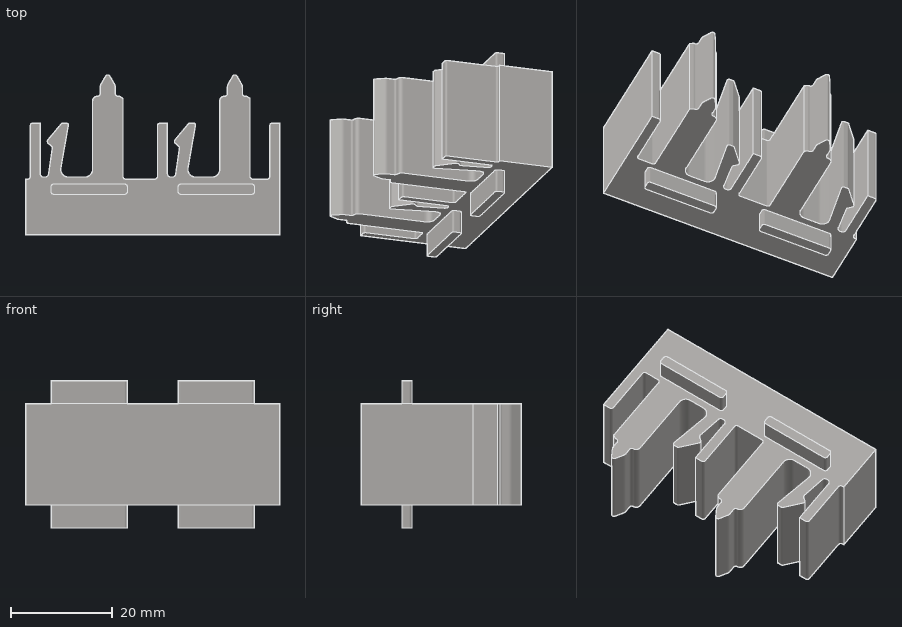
import cadquery as cq
import math

block_width = 50.0
block_depth = 11.0
body_height = 20.0
module_count = 2
module_pitch = block_width / module_count
root_radius = 0.5

post_left = 0.9
post_width = 2.0
post_right = post_left + post_width
post_top = 22.0
post_radius = 0.5

gap_floor = 11.4
slot_radius = 0.65
stem_left = 4.4
stem_right = 6.65
neck_x = 5.25
neck_y = 17.3
neck_radius = 0.4
nose_x = 4.05
nose_y = 18.35
nose_radius = 0.5
hook_top_left = 7.1
hook_top_right = 8.5
hook_top_radius = 0.4
gap_radius = 1.5

blade_center = 16.15
blade_width = 6.0
blade_left = blade_center - blade_width / 2
blade_right = blade_center + blade_width / 2
shoulder_y = 27.3
shoulder_radius = 0.95
low_shoulder_x = 18.5
low_shoulder_drop = 0.45
tip_half_width = 1.5
tip_left = blade_center - tip_half_width
tip_right = blade_center + tip_half_width
tip_half_angle = math.radians(30)
tip_radius = 0.5
tip_y = 31.5
tip_apex = tip_y + tip_radius / math.sin(tip_half_angle) - tip_radius
tip_base = tip_apex - tip_half_width / math.tan(tip_half_angle)
tip_side_radius = 1.25

flange_left = 5.0
flange_length = 15.0
flange_front = 8.0
flange_thickness = 2.0
overall_height = 29.0
flange_radius = 0.5


def module_corners(offset):
    """Corners (x, y, rounding radius) along the back of one post, hook and blade module."""
    corners = [
        (post_left, block_depth, root_radius),
        (post_left, post_top, post_radius),
        (post_right, post_top, 0),
        (post_right, gap_floor, slot_radius),
        (stem_left, gap_floor, slot_radius),
        (neck_x, neck_y, neck_radius),
        (nose_x, nose_y, nose_radius),
        (hook_top_left, post_top, hook_top_radius),
        (hook_top_right, post_top, hook_top_radius),
        (stem_right, gap_floor, gap_radius),
        (blade_left, gap_floor, gap_radius),
        (blade_left, shoulder_y, shoulder_radius),
        (tip_left, shoulder_y, root_radius),
        (tip_left, tip_base, tip_side_radius),
        (blade_center, tip_apex, tip_radius),
        (tip_right, tip_base, tip_side_radius),
        (tip_right, shoulder_y, root_radius),
        (low_shoulder_x, shoulder_y, root_radius),
        (blade_right, shoulder_y - low_shoulder_drop, 0),
        (blade_right, block_depth, root_radius),
    ]
    return [(x + offset, y, radius) for x, y, radius in corners]


def rounded_outline(corners):
    """Closed wire through the corners, each one rounded by a tangent arc of its radius."""
    outline = None
    for i, (x, y, radius) in enumerate(corners):
        corner = cq.Vector(x, y)
        before = cq.Vector(*corners[i - 1][:2])
        after = cq.Vector(*corners[(i + 1) % len(corners)][:2])
        to_before = (before - corner).normalized()
        to_after = (after - corner).normalized()
        half_angle = to_before.getAngle(to_after) / 2
        tangent_length = radius / math.tan(half_angle)
        arc_start = corner + to_before * tangent_length
        arc_end = corner + to_after * tangent_length
        if outline is None:
            outline = cq.Workplane("XY").moveTo(arc_start.x, arc_start.y)
        else:
            outline = outline.lineTo(arc_start.x, arc_start.y)
        if radius > 0:
            middle_distance = radius / math.sin(half_angle) - radius
            arc_middle = corner + (to_before + to_after).normalized() * middle_distance
            outline = outline.threePointArc((arc_middle.x, arc_middle.y), (arc_end.x, arc_end.y))
    return outline.close()


def make_body():
    """Block with its clip modules and a closing post along its back."""
    last_post_left = block_width - post_width
    corners = [(0, 0, 0), (0, block_depth, 0)]
    for index in range(module_count):
        corners += module_corners(index * module_pitch)
    corners += [
        (last_post_left, block_depth, root_radius),
        (last_post_left, post_top, post_radius),
        (block_width, post_top, 0),
        (block_width, 0, 0),
    ]
    return rounded_outline(corners).extrude(body_height / 2, both=True)


def make_flange(offset):
    """Rounded plate that passes through the body and stands out above and below it."""
    return (
        cq.Workplane("XY")
        .box(flange_length, flange_thickness, overall_height, centered=(False, False, True))
        .edges("|Z")
        .fillet(flange_radius)
        .translate((flange_left + offset, flange_front, 0))
    )


result = make_body()
for index in range(module_count):
    result = result.union(make_flange(index * module_pitch))